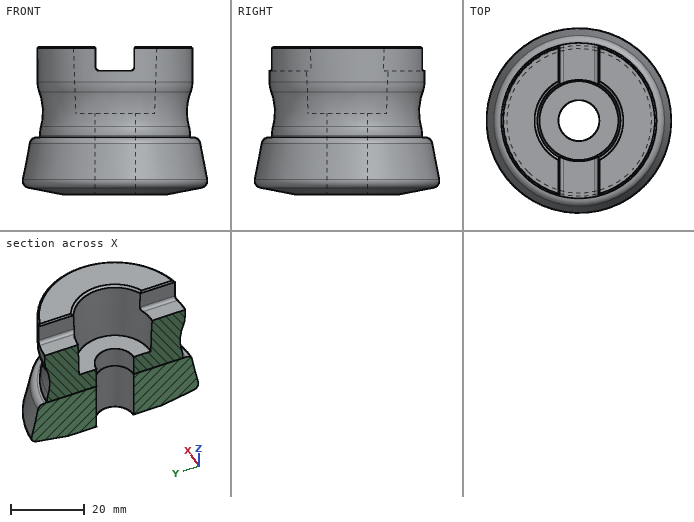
import cadquery as cq
import math

total_height = 40.0
foot_height = 15.5
centre_hole_diameter = 11.0

foot_max_radius = 25.0
foot_flat_radius = 14.0
foot_rim_radius = 2.0
foot_taper = math.radians(11)

neck_top_radius = 21.0
neck_top_start = 30.5
neck_base_diameter = 40.7
neck_base_radius = neck_base_diameter / 2
neck_base_end = 16.0
waist_radius = 19.5
waist_height = 22.4
waist_curve_radius = 15.0
neck_edge_chamfer = 0.5

bore_mouth_radius = 11.25
bore_draft = math.radians(2)
bore_floor = 22.0
bore_chamfer_width = 0.75
bore_chamfer_depth = 0.5

slot_width = 10.4
slot_depth = 6.5
slot_corner_radius = 1.0
slot_edge_chamfer = 0.45
slot_length = 2.5 * neck_top_radius


def point_on_arc(centre, radius, angle):
    return (centre[0] + radius * math.cos(angle), centre[1] + radius * math.sin(angle))


def revolve_about_z(profile):
    return profile.close().revolve(360, (0, 0, 0), (0, 1, 0))


def cut_centre_hole(body):
    hole = cq.Workplane("XY").circle(centre_hole_diameter / 2).extrude(total_height)
    return body.cut(hole)


def make_foot():
    lower_r = foot_max_radius - foot_rim_radius
    lower_z = (lower_r - foot_flat_radius) * math.tan(foot_taper) + foot_rim_radius / math.cos(foot_taper)
    lower_centre = (lower_r, lower_z)
    upper_z = foot_height - foot_rim_radius
    upper_r = lower_r - (upper_z - lower_z) * math.tan(foot_taper)
    upper_centre = (upper_r, upper_z)

    underside_angle = foot_taper - math.pi / 2
    side_angle = foot_taper
    top_angle = math.pi / 2

    def rim_point(centre, angle):
        return point_on_arc(centre, foot_rim_radius, angle)

    profile = (
        cq.Workplane("XZ")
        .moveTo(0, 0)
        .lineTo(foot_flat_radius, 0)
        .lineTo(*rim_point(lower_centre, underside_angle))
        .threePointArc(
            rim_point(lower_centre, (underside_angle + side_angle) / 2),
            rim_point(lower_centre, side_angle),
        )
        .lineTo(*rim_point(upper_centre, side_angle))
        .threePointArc(
            rim_point(upper_centre, (side_angle + top_angle) / 2),
            rim_point(upper_centre, top_angle),
        )
        .lineTo(0, foot_height)
    )
    return cut_centre_hole(revolve_about_z(profile))


def blend_into_waist(cylinder_radius, cylinder_end):
    """Convex arc tangent to a vertical cylinder wall and to the concave waist arc.

    Returns the middle of the arc and the point where it meets the waist arc.
    """
    waist_centre = (waist_radius + waist_curve_radius, waist_height)
    wall_gap = waist_centre[0] - cylinder_radius
    rise = cylinder_end - waist_height
    radius = (wall_gap**2 + rise**2 - waist_curve_radius**2) / (2 * (waist_curve_radius - wall_gap))
    centre = (cylinder_radius - radius, cylinder_end)
    meeting_angle = math.atan2(-rise, wall_gap + radius)
    middle = point_on_arc(centre, radius, meeting_angle / 2)
    meeting = point_on_arc(centre, radius, meeting_angle)
    return middle, meeting


def make_neck_blank():
    lower_middle, lower_meeting = blend_into_waist(neck_base_radius, neck_base_end)
    upper_middle, upper_meeting = blend_into_waist(neck_top_radius, neck_top_start)
    profile = (
        cq.Workplane("XZ")
        .moveTo(0, foot_height)
        .lineTo(neck_base_radius, foot_height)
        .lineTo(neck_base_radius, neck_base_end)
        .threePointArc(lower_middle, lower_meeting)
        .threePointArc((waist_radius, waist_height), upper_meeting)
        .threePointArc(upper_middle, (neck_top_radius, neck_top_start))
        .lineTo(neck_top_radius, total_height - neck_edge_chamfer)
        .lineTo(neck_top_radius - neck_edge_chamfer, total_height)
        .lineTo(0, total_height)
    )
    return revolve_about_z(profile)


def make_bore():
    mouth_z = total_height - bore_chamfer_depth
    floor_radius = bore_mouth_radius - (mouth_z - bore_floor) * math.tan(bore_draft)
    profile = (
        cq.Workplane("XZ")
        .moveTo(0, bore_floor)
        .lineTo(floor_radius, bore_floor)
        .lineTo(bore_mouth_radius, mouth_z)
        .lineTo(bore_mouth_radius + bore_chamfer_width, total_height)
        .lineTo(0, total_height)
    )
    return revolve_about_z(profile)


def make_slot():
    half_width = slot_width / 2
    slot_floor = total_height - slot_depth
    channel = (
        cq.Workplane("XY")
        .box(slot_width, slot_length, slot_depth, centered=(True, True, False))
        .translate((0, 0, slot_floor))
        .edges("|Y and <Z")
        .fillet(slot_corner_radius)
    )
    edge_chamfers = (
        cq.Workplane("XZ", origin=(0, slot_length / 2, 0))
        .moveTo(-half_width, total_height - slot_edge_chamfer)
        .lineTo(half_width, total_height - slot_edge_chamfer)
        .lineTo(half_width + slot_edge_chamfer, total_height)
        .lineTo(-half_width - slot_edge_chamfer, total_height)
        .close()
        .extrude(slot_length)
    )
    return channel.union(edge_chamfers)


def make_neck():
    neck = make_neck_blank().cut(make_bore()).cut(make_slot())
    return cut_centre_hole(neck)


foot = make_foot()
neck = make_neck()

result = cq.Compound.makeCompound([foot.solids().val(), neck.solids().val()])